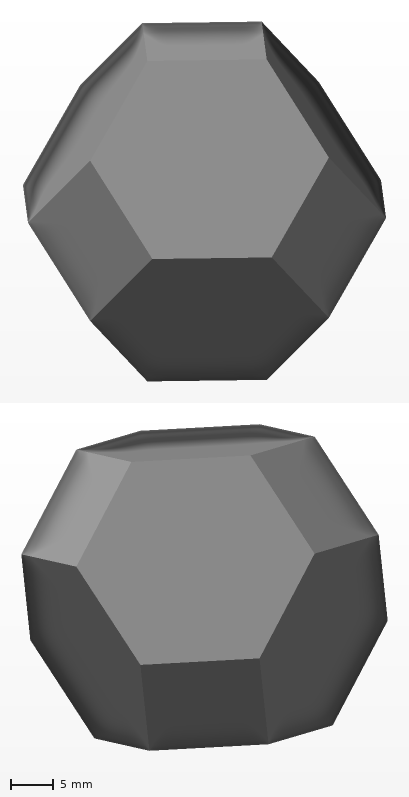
import cadquery as cq

width = 40.0
tip_reach = 0.75 * width


def octahedron(reach):
    """Regular octahedron centred on the origin with its tips on the axes."""
    faces = []
    for x in (-reach, reach):
        for y in (-reach, reach):
            for z in (-reach, reach):
                corners = [cq.Vector(x, 0, 0), cq.Vector(0, y, 0), cq.Vector(0, 0, z)]
                outline = cq.Wire.makePolygon(corners, close=True)
                faces.append(cq.Face.makeFromWires(outline))
    return cq.Solid.makeSolid(cq.Shell.makeShell(faces))


cube = cq.Workplane("XY").box(width, width, width)
result = cube.intersect(cq.Workplane(obj=octahedron(tip_reach)))